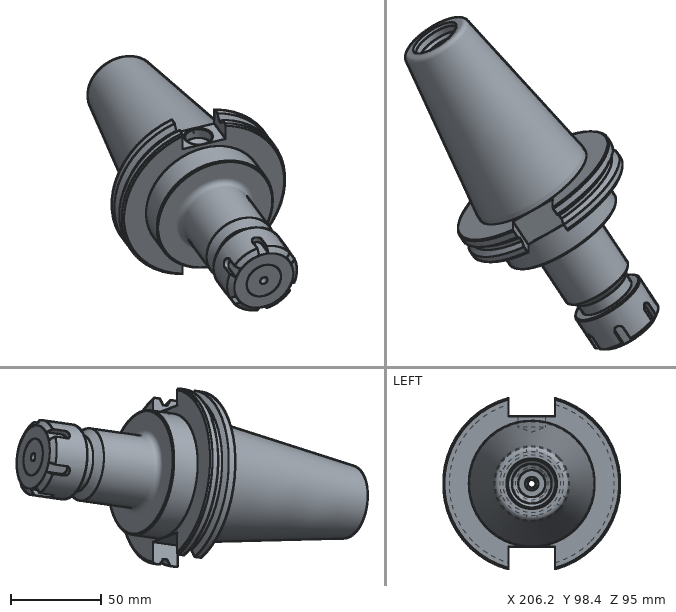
import cadquery as cq
import math

total_length = 206.2

taper_end_radius = 40.5 / 2
collar_radius = 70.0 / 2
taper_length = 101.3
taper_tip_round = 2.9
collar_end = 136.5
collar_chamfer = 0.6

flange_start = 104.4
flange_end = 120.7
flange_radius = 98.4 / 2
flange_rear_chamfer = 0.6
flange_front_chamfer = 1.0
groove_center = 112.6
groove_floor_radius = 91.5 / 2
groove_floor_width = 2.5
groove_mouth_width = 7.0

drive_slot_width = 25.8
upper_slot_floor = 37.5
lower_slot_floor = 35.0
dimple_radius = 15.0 / 2
dimple_chamfer = 0.5
dimple_depth = 6.2
drill_point_angle = 140.0

body_radius = 40.6 / 2
body_root_fillet = 3.3
body_end = 172.6
nose_radius = 32.0 / 2
nose_start = body_end + (body_radius - nose_radius)

bore_mouth_radius = 28.0 / 2
bore_chamfer_depth = 1.9
bore_counter_radius = 26.5 / 2
bore_counter_depth = 5.8
thread_radius = 22.0 / 2
thread_depth = 51.5
channel_radius = 15.0 / 2
counter_step_half_angle = 45.0
thread_step_half_angle = 60.0

nut_start = 183.4
nut_radius = 42.0 / 2
nut_rear_chamfer = 0.6
nut_front_length = 2.5
nut_front_radius = 35.5 / 2
nut_slot_count = 6
nut_slot_width = 5.5
nut_slot_start = 193.7
nut_slot_floor = 17.7

collet_rear_radius = 18.0 / 2
collet_max_radius = 26.0 / 2
collet_front_radius = 20.6 / 2
collet_start = 171.5
collet_half_angle = 8.0
collet_clamp_angle = 30.0
collet_bore_radius = 4.3 / 2
collet_relief_radius = 7.5 / 2
collet_relief_depth = 20.6

nose_end = collet_start + (collet_max_radius - collet_rear_radius) / math.tan(math.radians(collet_half_angle))
clamp_cone_length = (collet_max_radius - collet_front_radius) / math.tan(math.radians(collet_clamp_angle))
clamp_end = nose_end + clamp_cone_length


def revolve_profile(sketch):
    """Close an (x, radius) outline and turn it about the X axis."""
    return sketch.close().revolve(360, (0, 0, 0), (1, 0, 0))


def bar(start, end, radius):
    """Plain cylinder on the X axis."""
    return cq.Workplane("YZ", origin=(start, 0, 0)).circle(radius).extrude(end - start)


def taper_shank():
    outline = (
        cq.Workplane("XY")
        .lineTo(0, taper_end_radius)
        .lineTo(taper_length, collar_radius)
        .lineTo(collar_end, collar_radius)
        .lineTo(collar_end, 0)
    )
    shank = revolve_profile(outline)
    shank = shank.faces("<X").edges().fillet(taper_tip_round)
    return shank.faces(">X").edges().chamfer(collar_chamfer)


def flange():
    disc = bar(flange_start, flange_end, flange_radius)
    disc = disc.faces("<X").edges().chamfer(flange_rear_chamfer)
    disc = disc.faces(">X").edges().chamfer(flange_front_chamfer)
    groove = (
        cq.Workplane("XY")
        .moveTo(groove_center - groove_mouth_width / 2, flange_radius)
        .lineTo(groove_center - groove_floor_width / 2, groove_floor_radius)
        .lineTo(groove_center + groove_floor_width / 2, groove_floor_radius)
        .lineTo(groove_center + groove_mouth_width / 2, flange_radius)
    )
    return disc.cut(revolve_profile(groove))


def drive_slot(floor, side):
    """Block that cuts one drive slot; side is +1 for the top and -1 for the bottom."""
    depth = flange_radius - floor
    return cq.Workplane("XY").box(flange_end - flange_start, drive_slot_width, depth).translate(
        ((flange_start + flange_end) / 2, 0, side * (floor + depth / 2))
    )


def slot_dimple():
    """Drilled dimple with a conical bottom in the floor of the upper drive slot."""
    point_length = dimple_radius / math.tan(math.radians(drill_point_angle / 2))
    return (
        cq.Workplane("XZ")
        .moveTo(0, upper_slot_floor)
        .lineTo(dimple_radius + dimple_chamfer, upper_slot_floor)
        .lineTo(dimple_radius, upper_slot_floor - dimple_chamfer)
        .lineTo(dimple_radius, upper_slot_floor - dimple_depth)
        .lineTo(0, upper_slot_floor - dimple_depth - point_length)
        .close()
        .revolve(360, (0, 0, 0), (0, 1, 0))
        .translate((groove_center, 0, 0))
    )


def body_and_nose():
    arc_middle = body_root_fillet * (1 - math.sqrt(0.5))
    outline = (
        cq.Workplane("XY")
        .moveTo(flange_end, 0)
        .lineTo(flange_end, body_radius + body_root_fillet)
        .lineTo(collar_end, body_radius + body_root_fillet)
        .threePointArc(
            (collar_end + arc_middle, body_radius + arc_middle),
            (collar_end + body_root_fillet, body_radius),
        )
        .lineTo(body_end, body_radius)
        .lineTo(nose_start, nose_radius)
        .lineTo(nose_end, nose_radius)
        .lineTo(nose_end, 0)
    )
    return revolve_profile(outline)


def drawbar_bore():
    """Stepped bore from the small end of the taper to the collet seat."""
    counter_step_length = (bore_counter_radius - thread_radius) / math.tan(math.radians(counter_step_half_angle))
    thread_step_length = (thread_radius - channel_radius) / math.tan(math.radians(thread_step_half_angle))
    counter_step_end = bore_counter_depth + counter_step_length
    thread_step_end = thread_depth + thread_step_length
    outline = (
        cq.Workplane("XY")
        .lineTo(0, bore_mouth_radius)
        .lineTo(bore_chamfer_depth, bore_counter_radius)
        .lineTo(bore_counter_depth, bore_counter_radius)
        .lineTo(counter_step_end, thread_radius)
        .lineTo(thread_depth, thread_radius)
        .lineTo(thread_step_end, channel_radius)
        .lineTo(collet_start, channel_radius)
        .lineTo(collet_start, 0)
    )
    return revolve_profile(outline)


def collet_envelope():
    """Outer shape of the collet, which also forms its seats in the holder and the nut."""
    outline = (
        cq.Workplane("XY")
        .moveTo(collet_start, 0)
        .lineTo(collet_start, collet_rear_radius)
        .lineTo(nose_end, collet_max_radius)
        .lineTo(clamp_end, collet_front_radius)
        .lineTo(total_length, collet_front_radius)
        .lineTo(total_length, 0)
    )
    return revolve_profile(outline)


def make_holder():
    holder = taper_shank().union(flange()).union(body_and_nose())
    holder = holder.cut(drive_slot(upper_slot_floor, 1))
    holder = holder.cut(drive_slot(lower_slot_floor, -1))
    holder = holder.cut(slot_dimple())
    return holder.cut(drawbar_bore()).cut(collet_envelope())


def nut_slot(angle):
    """Round-ended spanner slot, open at the front of the nut."""
    half_width = nut_slot_width / 2
    slot = (
        cq.Workplane("XY", origin=(0, 0, nut_slot_floor))
        .moveTo(nut_slot_start + half_width, -half_width)
        .threePointArc((nut_slot_start, 0), (nut_slot_start + half_width, half_width))
        .lineTo(total_length, half_width)
        .lineTo(total_length, -half_width)
        .close()
        .extrude(nut_radius - nut_slot_floor)
    )
    return slot.rotate((0, 0, 0), (1, 0, 0), angle)


def make_nut():
    outline = (
        cq.Workplane("XY")
        .moveTo(nut_start, 0)
        .lineTo(nut_start, nut_radius - nut_rear_chamfer)
        .lineTo(nut_start + nut_rear_chamfer, nut_radius)
        .lineTo(total_length - nut_front_length, nut_radius)
        .lineTo(total_length, nut_front_radius)
        .lineTo(total_length, 0)
    )
    nut = revolve_profile(outline)
    for index in range(nut_slot_count):
        nut = nut.cut(nut_slot(index * 360 / nut_slot_count))
    return nut.cut(bar(nut_start, nose_end, nose_radius)).cut(collet_envelope())


def make_collet():
    """Collet with a wider relief bore at its rear end."""
    relief = bar(collet_start, collet_start + collet_relief_depth, collet_relief_radius)
    return collet_envelope().cut(bar(collet_start, total_length, collet_bore_radius)).cut(relief)


holder = make_holder()
nut = make_nut()
collet = make_collet()

result = cq.Compound.makeCompound([holder.val(), nut.val(), collet.val()])